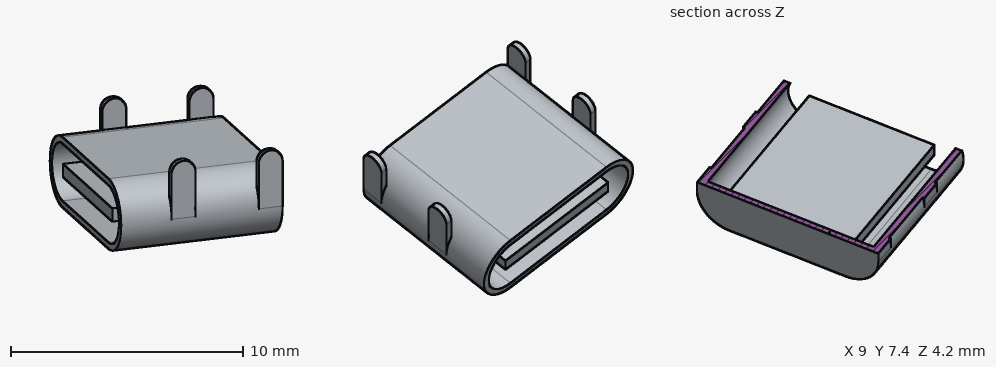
import cadquery as cq

shell_width = 9.0
shell_height = 3.2
shell_depth = 7.4
wall = 0.3
cavity_depth = shell_depth - wall

tongue_width = 6.2
tongue_thickness = 0.6
tongue_recess = 0.1

tab_width = 1.1
tab_height = 2.6
tab_pitch = 4.0
tab_radius = tab_width / 2


def obround(width, height, depth):
    """Solid with full-round ends, running from Y = 0 to Y = depth."""
    return cq.Workplane("XZ").slot2D(width, height).extrude(-depth)


def make_shell():
    cavity = obround(shell_width - 2 * wall, shell_height - 2 * wall, cavity_depth)
    return obround(shell_width, shell_height, shell_depth).cut(cavity)


def make_tongue():
    return (
        cq.Workplane("XZ", origin=(0, tongue_recess, 0))
        .rect(tongue_width, tongue_thickness)
        .extrude(-(shell_depth - tongue_recess))
    )


def make_tab(x_start, y_start):
    """Round-topped plate rising from the shell's mid-height."""
    shoulder = tab_height - tab_radius
    return (
        cq.Workplane("YZ", origin=(x_start, y_start, 0))
        .lineTo(tab_width, 0)
        .lineTo(tab_width, shoulder)
        .threePointArc((tab_radius, tab_height), (0, shoulder))
        .close()
        .extrude(wall)
    )


result = make_shell().union(make_tongue())
rear_tab_y = shell_depth - tab_width
for x_start in (-shell_width / 2, shell_width / 2 - wall):
    for y_start in (rear_tab_y, rear_tab_y - tab_pitch):
        result = result.union(make_tab(x_start, y_start))